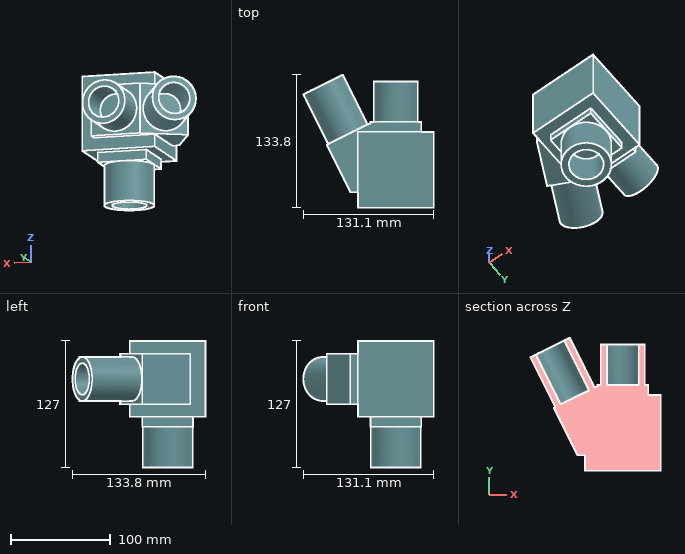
import cadquery as cq
import math

body_size = 76.2
half_body = body_size / 2

pad_width = 51.1
pad_height = 10.0
stub_length = 40.8
side_pipe_diameter = 44.4
side_bore_diameter = 31.7
bottom_pipe_diameter = 50.4
bottom_bore_diameter = 34.8

slant_angle = math.radians(26.5)
wedge_corner_x = -69.4
wedge_corner_y = 25.3
wedge_front_y = -22.5
wedge_face_width = 49.2
slant_pipe_inset = 23.7
slant_pipe_length = 55.8


def pipe(start, direction, diameter, bore_diameter, length):
    """Return the solid pipe and its bore, both running out from start."""
    outer = cq.Solid.makeCylinder(diameter / 2, length, start, direction)
    bore = cq.Solid.makeCylinder(bore_diameter / 2, length, start, direction)
    return outer, bore


body = cq.Workplane("XY").box(body_size, body_size, body_size)
back_pad = cq.Workplane("XY").box(pad_width, pad_height, pad_width)
back_pad = back_pad.translate((0, half_body + pad_height / 2, 0))
bottom_pad = cq.Workplane("XY").box(pad_width, pad_width, pad_height)
bottom_pad = bottom_pad.translate((0, 0, -half_body - pad_height / 2))

slant_direction = cq.Vector(-math.sin(slant_angle), math.cos(slant_angle), 0)
face_direction = cq.Vector(math.cos(slant_angle), math.sin(slant_angle), 0)
outer_corner = cq.Vector(wedge_corner_x, wedge_corner_y, 0)
inner_corner = outer_corner + face_direction * wedge_face_width
slant_pipe_start = outer_corner + face_direction * slant_pipe_inset
wedge_front_x = wedge_corner_x + (wedge_corner_y - wedge_front_y) * math.tan(slant_angle)

wedge = (
    cq.Workplane("XY")
    .moveTo(outer_corner.x, outer_corner.y)
    .lineTo(wedge_front_x, wedge_front_y)
    .lineTo(inner_corner.x, wedge_front_y)
    .lineTo(inner_corner.x, inner_corner.y)
    .close()
    .extrude(pad_width / 2, both=True)
)

pad_face = half_body + pad_height
pipes = [
    pipe(cq.Vector(0, pad_face, 0), cq.Vector(0, 1, 0),
         side_pipe_diameter, side_bore_diameter, stub_length),
    pipe(cq.Vector(0, 0, -pad_face), cq.Vector(0, 0, -1),
         bottom_pipe_diameter, bottom_bore_diameter, stub_length),
    pipe(slant_pipe_start, slant_direction,
         side_pipe_diameter, side_bore_diameter, slant_pipe_length),
]

result = body.union(back_pad).union(bottom_pad).union(wedge)
for outer, _ in pipes:
    result = result.union(cq.Workplane(obj=outer))
for _, bore in pipes:
    result = result.cut(cq.Workplane(obj=bore))